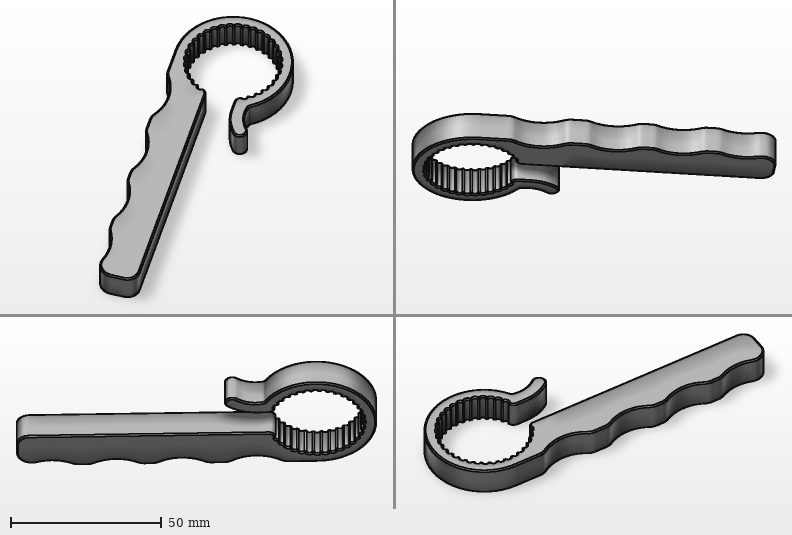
import cadquery as cq
import math

THICKNESS = 10.0
EDGE_CHAMFER = 0.5
HANDLE_TURN = -45

RING_RADIUS = 20.0
BORE_RADIUS = 15.3
NOTCH_RADIUS = 1.0
NOTCH_CIRCLE_RADIUS = 15.0
NOTCH_PITCH = 10
FIRST_NOTCH_ANGLE = 30

MOUTH_HALF_WIDTH = 5.0
MOUTH_START = BORE_RADIUS / 2
LIP_RADIUS = 2.5
LIP_SWEEP = 60
LIP_X = 16.1
HOOK_OUTER_RADIUS = 15.0
HOOK_INNER_RADIUS = HOOK_OUTER_RADIUS - MOUTH_HALF_WIDTH
HOOK_CENTER = (20.0, MOUTH_HALF_WIDTH + HOOK_OUTER_RADIUS)
HOOK_END_ANGLE = -51.5
HOOK_ROOT_FILLET = 1.0

HANDLE_END = 100.0
HANDLE_TOP = -MOUTH_HALF_WIDTH
HANDLE_BOTTOM = -RING_RADIUS
CORNER_RADIUS = 4.3
GRIP_RADIUS = 15.0
GRIP_BLEND = 5.0
GRIPS = [(20.4, 3.2), (45.3, 2.7), (67.2, 2.4), (88.6, 2.2)]


def polar(center, radius, angle):
    """Point on a circle, angle in degrees."""
    turn = math.radians(angle)
    return (center[0] + radius * math.cos(turn), center[1] + radius * math.sin(turn))


def ring_hook_angle():
    """Direction from the ring centre to the corner where the hook's inner arc leaves the ring."""
    spacing = math.hypot(*HOOK_CENTER)
    cosine = (spacing**2 + RING_RADIUS**2 - HOOK_INNER_RADIUS**2) / (2 * spacing * RING_RADIUS)
    bearing = math.degrees(math.atan2(HOOK_CENTER[1], HOOK_CENTER[0]))
    return bearing - math.degrees(math.acos(cosine))


def make_mouth():
    """Inner end of the mouth, from the handle's rounded lip across to the hook's rounded lip."""
    lower_center = (LIP_X, -MOUTH_HALF_WIDTH - LIP_RADIUS)
    upper_center = (LIP_X, MOUTH_HALF_WIDTH + LIP_RADIUS)
    lower_end = polar(lower_center, LIP_RADIUS, 90 + LIP_SWEEP)
    upper_end = polar(upper_center, LIP_RADIUS, -90 - LIP_SWEEP)
    return (
        cq.Workplane("XY")
        .moveTo(LIP_X, HANDLE_TOP)
        .threePointArc(polar(lower_center, LIP_RADIUS, 90 + LIP_SWEEP / 2), lower_end)
        .lineTo(MOUTH_START, lower_end[1])
        .lineTo(MOUTH_START, upper_end[1])
        .lineTo(*upper_end)
        .threePointArc(
            polar(upper_center, LIP_RADIUS, -90 - LIP_SWEEP / 2),
            (LIP_X, MOUTH_HALF_WIDTH),
        )
    )


def add_hook(path):
    """Upper side of the mouth, round the hook's tip and back to the ring."""
    mid_radius = (HOOK_OUTER_RADIUS + HOOK_INNER_RADIUS) / 2
    tip_radius = (HOOK_OUTER_RADIUS - HOOK_INNER_RADIUS) / 2
    tip_center = polar(HOOK_CENTER, mid_radius, HOOK_END_ANGLE)
    corner = polar((0, 0), RING_RADIUS, ring_hook_angle())
    corner_angle = math.degrees(math.atan2(corner[1] - HOOK_CENTER[1], corner[0] - HOOK_CENTER[0]))
    return (
        path.lineTo(HOOK_CENTER[0], MOUTH_HALF_WIDTH)
        .threePointArc(
            polar(HOOK_CENTER, HOOK_OUTER_RADIUS, (HOOK_END_ANGLE - 90) / 2),
            polar(HOOK_CENTER, HOOK_OUTER_RADIUS, HOOK_END_ANGLE),
        )
        .threePointArc(
            polar(tip_center, tip_radius, HOOK_END_ANGLE + 90),
            polar(HOOK_CENTER, HOOK_INNER_RADIUS, HOOK_END_ANGLE),
        )
        .threePointArc(
            polar(HOOK_CENTER, HOOK_INNER_RADIUS, (HOOK_END_ANGLE + corner_angle) / 2),
            corner,
        )
    )


def add_grip(path, position, depth, is_last):
    """One finger hollow with a rounded blend on each side; the last runs into the handle's end."""
    center = (position, HANDLE_BOTTOM + depth - GRIP_RADIUS)
    blend_y = HANDLE_BOTTOM + GRIP_BLEND
    reach = GRIP_RADIUS + GRIP_BLEND
    half_span = math.sqrt(reach**2 - (blend_y - center[1]) ** 2)
    start_blend = (position - half_span, blend_y)
    start_angle = math.degrees(math.atan2(blend_y - center[1], -half_span))
    if is_last:
        end_blend_x = HANDLE_END - GRIP_BLEND
        end_blend_y = center[1] + math.sqrt(reach**2 - (end_blend_x - position) ** 2)
        end_blend = (end_blend_x, end_blend_y)
        finish_angle = 0
    else:
        end_blend = (position + half_span, blend_y)
        finish_angle = -90
    end_angle = math.degrees(math.atan2(end_blend[1] - center[1], end_blend[0] - position))
    return (
        path.lineTo(start_blend[0], HANDLE_BOTTOM)
        .threePointArc(
            polar(start_blend, GRIP_BLEND, (start_angle - 180 - 90) / 2),
            polar(center, GRIP_RADIUS, start_angle),
        )
        .threePointArc(
            polar(center, GRIP_RADIUS, (start_angle + end_angle) / 2),
            polar(center, GRIP_RADIUS, end_angle),
        )
        .threePointArc(
            polar(end_blend, GRIP_BLEND, (end_angle - 180 + finish_angle) / 2),
            polar(end_blend, GRIP_BLEND, finish_angle),
        )
    )


def make_body():
    """Ring, hook and handle as one outline with chamfered rims; the bore is still filled."""
    path = add_hook(make_mouth())
    path = path.threePointArc((-RING_RADIUS, 0), (0, HANDLE_BOTTOM))
    for position, depth in GRIPS:
        path = add_grip(path, position, depth, is_last=(position, depth) == GRIPS[-1])
    corner_center = (HANDLE_END - CORNER_RADIUS, HANDLE_TOP - CORNER_RADIUS)
    path = path.lineTo(HANDLE_END, corner_center[1]).threePointArc(
        polar(corner_center, CORNER_RADIUS, 45), (corner_center[0], HANDLE_TOP)
    )
    body = path.close().extrude(THICKNESS)
    hook_root = polar((0, 0), RING_RADIUS, ring_hook_angle())
    nearest_edge = cq.selectors.NearestToPointSelector((*hook_root, THICKNESS / 2))
    body = body.edges("|Z").edges(nearest_edge).fillet(HOOK_ROOT_FILLET)
    return body.faces("<Z or >Z").chamfer(EDGE_CHAMFER)


def flared_cutter(radius):
    """Cylinder along Z that widens at both faces to leave a chamfer."""
    flared = radius + EDGE_CHAMFER
    return (
        cq.Workplane("XZ")
        .polyline([
            (0, 0),
            (flared, 0),
            (radius, EDGE_CHAMFER),
            (radius, THICKNESS - EDGE_CHAMFER),
            (flared, THICKNESS),
            (0, THICKNESS),
        ])
        .close()
        .revolve(360, (0, 0), (0, 1))
    )


def cut_serrated_bore(body):
    """Round bore with a ring of notches that stops short of the mouth on each side."""
    body = body.cut(flared_cutter(BORE_RADIUS))
    notch = flared_cutter(NOTCH_RADIUS)
    for angle in range(FIRST_NOTCH_ANGLE, 360 - FIRST_NOTCH_ANGLE + 1, NOTCH_PITCH):
        x, y = polar((0, 0), NOTCH_CIRCLE_RADIUS, angle)
        body = body.cut(notch.translate((x, y, 0)))
    return body


result = cut_serrated_bore(make_body()).rotate((0, 0, 0), (0, 0, 1), HANDLE_TURN)